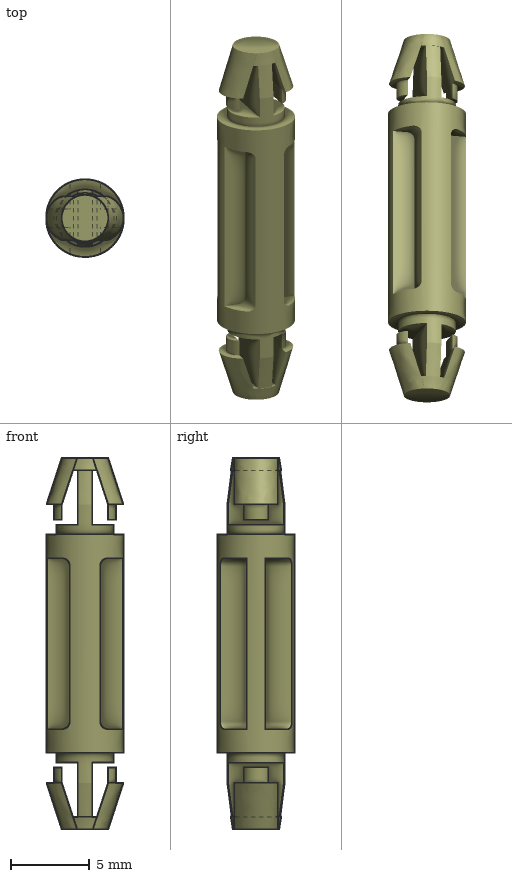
import cadquery as cq

total_length = 23.8
body_diameter = 5.0
body_length = 14.0

pocket_length = 10.95
pocket_corner_radius = 0.5
core_width_x = 1.95
core_width_y = 1.2

collar_diameter = 3.7
collar_height = 0.62
blade_thickness = 0.95

tip_diameter = 2.98
head_height = 2.98
cap_height = 0.8
cap_base_diameter = 3.24
blade_top_width = 3.15
arm_splay = 0.98
arm_inner_offset = 0.5

foot_height = 1.0
foot_radius = 0.83
foot_outer_x = 2.0

tip_z = total_length / 2
body_end_z = body_length / 2
collar_top_z = body_end_z + collar_height
head_base_z = tip_z - head_height
cap_base_z = tip_z - cap_height
foot_base_z = head_base_z - foot_height

arm_inner_base_x = arm_inner_offset + arm_splay
cap_base_half_width = arm_inner_offset + arm_splay * cap_height / head_height


def cylinder(radius, bottom_z, height, center_x=0):
    return cq.Workplane("XY", origin=(center_x, 0, bottom_z)).circle(radius).extrude(height)


def xz_prism(points):
    """Outline in X and Z, extruded across the full body width in Y."""
    return cq.Workplane("XZ").polyline(points).close().extrude(body_diameter / 2, both=True)


def make_pocket():
    """Pocket in the +X, +Y quadrant, with its inner corners rounded about Y."""
    size = body_diameter / 2
    return (
        cq.Workplane("XY")
        .box(size, size, pocket_length, centered=(False, False, True))
        .edges("|Y and <X")
        .fillet(pocket_corner_radius)
        .translate((core_width_x / 2, core_width_y / 2, 0))
    )


def make_body():
    body = cylinder(body_diameter / 2, -body_end_z, body_length)
    pocket = make_pocket()
    opposite_pocket = pocket.mirror("YZ")
    for cutter in (pocket, opposite_pocket):
        body = body.cut(cutter).cut(cutter.mirror("XZ"))
    return body


def frustum(bottom_diameter, top_diameter, bottom_z, top_z):
    return (
        cq.Workplane("XY", origin=(0, 0, bottom_z))
        .circle(bottom_diameter / 2)
        .workplane(offset=top_z - bottom_z)
        .circle(top_diameter / 2)
        .loft(ruled=True)
    )


def make_blade():
    """Centre blade, straight above the collar and then tapering up to the cap."""
    straight_part = cylinder(collar_diameter / 2, collar_top_z, head_base_z - collar_top_z)
    tapered_part = frustum(collar_diameter, blade_top_width, head_base_z, cap_base_z)
    slab = cq.Workplane("XY").box(blade_thickness, body_diameter, total_length)
    return straight_part.union(tapered_part).intersect(slab)


def make_cap():
    """Conical cap between the arms, overhanging the blade by a small lip."""
    outline = xz_prism([
        (-cap_base_half_width, cap_base_z),
        (cap_base_half_width, cap_base_z),
        (arm_inner_offset, tip_z),
        (-arm_inner_offset, tip_z),
    ])
    return frustum(cap_base_diameter, tip_diameter, cap_base_z, tip_z).intersect(outline)


def make_arm():
    """The +X arm: a slanted cylinder cut by a parallel inner face, with its foot."""
    slanted_cylinder = (
        cq.Workplane("XY", origin=(0, 0, tip_z))
        .circle(tip_diameter / 2)
        .sweep(cq.Workplane("XZ").moveTo(0, tip_z).lineTo(arm_splay, head_base_z))
    )
    outer_side = xz_prism([
        (arm_inner_offset, tip_z),
        (body_diameter, tip_z),
        (body_diameter, head_base_z),
        (arm_inner_base_x, head_base_z),
    ])
    foot_trim = xz_prism([
        (arm_inner_base_x, head_base_z),
        (body_diameter, head_base_z),
        (body_diameter, foot_base_z),
        (arm_inner_base_x, foot_base_z),
    ])
    foot = cylinder(foot_radius, foot_base_z, foot_height, foot_outer_x - foot_radius)
    return slanted_cylinder.intersect(outer_side).union(foot.intersect(foot_trim))


def make_snap_end():
    collar = cylinder(collar_diameter / 2, body_end_z, collar_height)
    arm = make_arm()
    centre = collar.union(make_blade()).union(make_cap())
    return centre.union(arm).union(arm.mirror("YZ"))


snap_end = make_snap_end()
result = make_body().union(snap_end).union(snap_end.mirror("XY"))